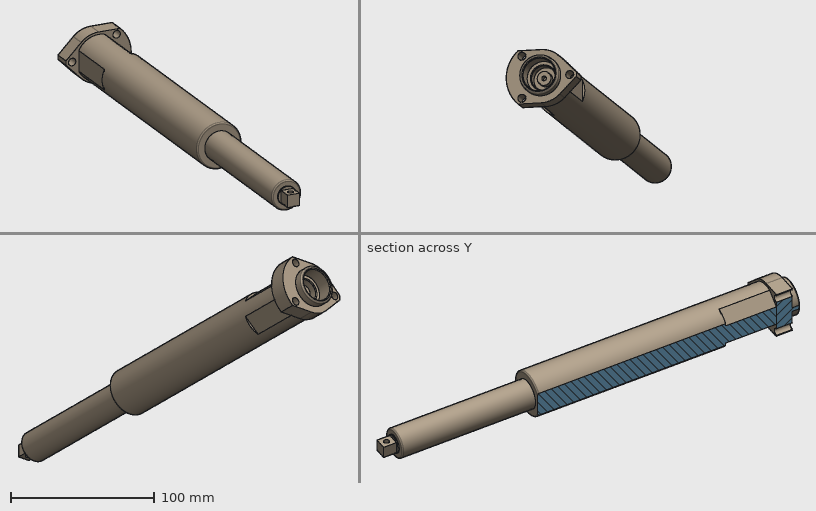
import cadquery as cq
import math


collar_end = 6.3
bearing_start = 12.0
shaft_start = 14.3
flange_end = 19.2
flat_end = 60.5
housing_end = 212.5
rod_end = 320.3
tang_start = 321.3
total_length = 331.5

flange_back_radius = 50.7 / 2
flange_half_height = 38.0 / 2
shoulder_angle = math.radians(45)

collar_radius = 28.2 / 2
collar_rounding = 1.0
bore_radius = 11.5
bore_chamfer = 0.5

bearing_hole_radius = 8.5
bearing_chamfer = 0.5
shaft_radius = 5.0
shaft_center_radius = 1.5

bolt_circle_radius = 20.5
bolt_hole_radius = 5.5 / 2
bolt_angles = (47, 180, -47)

housing_radius = 17.2
housing_rounding = 1.0
flat_depth = 1.82
rod_radius = 11.3
rod_rounding = 1.0

tip_radius = 7.0
tang_width = 9.3
tang_hole_radius = 2.0
tang_hole_x = 326.5


def cylinder(start, end, radius):
    """Solid cylinder about the X axis."""
    return cq.Workplane("YZ", origin=(start, 0, 0)).circle(radius).extrude(end - start)


def turned(shape, angle):
    """The shape turned about the X axis."""
    return shape.rotate((0, 0, 0), (1, 0, 0), angle)


def mirrored(point):
    """The sketch point mirrored to the lower half of the flange."""
    y, z = point
    return y, -z


def shoulder_point(angle):
    """Point on the round shoulder of the flange, measured from its top toward the nose."""
    return -flange_half_height * math.sin(angle), flange_half_height * math.cos(angle)


def make_flange_plate():
    back_corner = (math.sqrt(flange_back_radius**2 - flange_half_height**2), flange_half_height)
    shoulder_top = shoulder_point(0)
    shoulder_middle = shoulder_point(shoulder_angle / 2)
    shoulder_end = shoulder_point(shoulder_angle)
    nose_y = -flange_back_radius
    nose_z = (flange_half_height + nose_y * math.sin(shoulder_angle)) / math.cos(shoulder_angle)
    nose_corner = (nose_y, nose_z)

    outline = (
        cq.Workplane("YZ", origin=(collar_end, 0, 0))
        .moveTo(*mirrored(back_corner))
        .threePointArc((flange_back_radius, 0), back_corner)
        .lineTo(*shoulder_top)
        .threePointArc(shoulder_middle, shoulder_end)
        .lineTo(*nose_corner)
        .lineTo(*mirrored(nose_corner))
        .lineTo(*mirrored(shoulder_end))
        .threePointArc(mirrored(shoulder_middle), mirrored(shoulder_top))
        .close()
    )
    return outline.extrude(flange_end - collar_end)


def make_flange():
    """Flange plate with its collar, bored through, and drilled for three bolts."""
    collar = cylinder(0, collar_end, collar_radius)
    collar = collar.faces("<X").edges().fillet(collar_rounding)
    flange = make_flange_plate().union(collar)

    flange = flange.cut(cylinder(0, flange_end, bore_radius))
    bore_rim = cq.selectors.RadiusNthSelector(0)
    flange = flange.faces("<X").edges(bore_rim).chamfer(bore_chamfer)

    bolt_hole = cylinder(collar_end, flange_end, bolt_hole_radius).translate((0, bolt_circle_radius, 0))
    for angle in bolt_angles:
        flange = flange.cut(turned(bolt_hole, angle))
    return flange


def make_bearing():
    """Ring that fills the bottom of the flange bore."""
    bearing = cylinder(bearing_start, flange_end, bore_radius)
    bearing = bearing.cut(cylinder(bearing_start, flange_end, bearing_hole_radius))
    hole_rim = cq.selectors.RadiusNthSelector(0)
    return bearing.faces("<X").edges(hole_rim).chamfer(bearing_chamfer)


def make_shaft():
    """Short shaft inside the bearing, standing on the rod, with a center hole."""
    shaft = cylinder(shaft_start, flange_end, shaft_radius)
    return shaft.cut(cylinder(shaft_start, flange_end, shaft_center_radius))


def make_housing():
    """Housing tube around the rod, with a flat behind each bolt hole."""
    housing = cylinder(flange_end, housing_end, housing_radius)
    housing = housing.faces(">X").edges().fillet(housing_rounding)

    flat_cutter = (
        cq.Workplane("XY", origin=(flange_end, housing_radius - flat_depth, 0))
        .box(flat_end - flange_end, housing_radius, 2 * housing_radius, centered=(False, False, True))
    )
    for angle in bolt_angles:
        housing = housing.cut(turned(flat_cutter, angle))

    return housing.cut(cylinder(flange_end, housing_end, rod_radius))


def make_rod():
    """Rod that fills the housing and reaches out of it."""
    rod = cylinder(flange_end, rod_end, rod_radius)
    return rod.faces(">X").edges().fillet(rod_rounding)


def make_tip():
    """Round foot on the end of the rod, carrying a square tang with a vertical cross hole."""
    foot = cylinder(rod_end, tang_start, tip_radius)
    tang = cq.Workplane("YZ", origin=(tang_start, 0, 0)).rect(tang_width, tang_width)
    tang = tang.extrude(total_length - tang_start)
    cross_hole = cq.Workplane("XY").center(tang_hole_x, 0).circle(tang_hole_radius)
    cross_hole = cross_hole.extrude(tang_width, both=True)
    return foot.union(tang).cut(cross_hole)


flange = make_flange()
bearing = make_bearing()
shaft = make_shaft()
housing = make_housing()
rod = make_rod()
tip = make_tip()

bodies = [flange, bearing, shaft, housing, rod, tip]
result = cq.Compound.makeCompound([body.solids().val() for body in bodies])